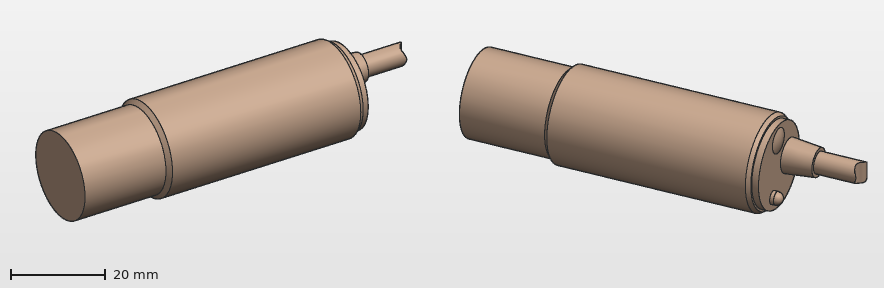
import cadquery as cq
import math

body_diameter = 22.0
nose_diameter = 20.0
cap_diameter = 19.8
nose_length = 20.0
front_chamfer = (body_diameter - nose_diameter) / 2
rear_chamfer_depth = 0.6
rear_chamfer_length = 1.0
rear_chamfer_start = 67.5
shoulder_end = rear_chamfer_start + rear_chamfer_length
cap_end = 70.05

cable_x = -4.7
cable_z = 0
relief_base_diameter = 8.0
relief_tip_diameter = 6.6
relief_end = 77.1

lamp_x = 3.0
lamp_z = -6.2
collar_diameter = 3.1
collar_height = 0.9
lens_diameter = 3.0

button_x = 0.3
button_z = 6.1
button_diameter = 5.8
button_height = 0.6

cable_diameter = 5.0
cable_end = 87.7
wave_height = 0.7


def revolve_about_y(profile, x=0, z=0):
    """Turn an XY half profile about the Y axis and move it to (x, z)."""
    return profile.close().revolve(360, (0, 0, 0), (0, 1, 0)).translate((x, 0, z))


def make_shell():
    body_radius = body_diameter / 2
    nose_radius = nose_diameter / 2
    cap_radius = cap_diameter / 2
    profile = (
        cq.Workplane("XY")
        .lineTo(nose_radius, 0)
        .lineTo(nose_radius, nose_length)
        .lineTo(body_radius, nose_length + front_chamfer)
        .lineTo(body_radius, rear_chamfer_start)
        .lineTo(body_radius - rear_chamfer_depth, shoulder_end)
        .lineTo(cap_radius, shoulder_end)
        .lineTo(cap_radius, cap_end)
        .lineTo(0, cap_end)
    )
    return revolve_about_y(profile)


def make_strain_relief():
    profile = (
        cq.Workplane("XY")
        .moveTo(0, cap_end)
        .lineTo(relief_base_diameter / 2, cap_end)
        .lineTo(relief_tip_diameter / 2, relief_end)
        .lineTo(0, relief_end)
    )
    return revolve_about_y(profile, cable_x, cable_z)


def make_lamp():
    collar_end = cap_end + collar_height
    lens_radius = lens_diameter / 2
    half_chord = lens_radius / math.sqrt(2)
    profile = (
        cq.Workplane("XY")
        .moveTo(0, cap_end)
        .lineTo(collar_diameter / 2, cap_end)
        .lineTo(collar_diameter / 2, collar_end)
        .lineTo(lens_radius, collar_end)
        .threePointArc((half_chord, collar_end + half_chord), (0, collar_end + lens_radius))
    )
    return revolve_about_y(profile, lamp_x, lamp_z)


def make_button():
    base_radius = button_diameter / 2
    sphere_radius = (base_radius**2 + button_height**2) / (2 * button_height)
    profile = (
        cq.Workplane("XY")
        .moveTo(0, cap_end)
        .lineTo(base_radius, cap_end)
        .radiusArc((0, cap_end + button_height), -sphere_radius)
    )
    return revolve_about_y(profile, button_x, button_z)


def make_housing():
    return make_shell().union(make_strain_relief()).union(make_lamp()).union(make_button())


def make_cable():
    """Round cable from the strain relief to a crest on the -X half and a trough on the +X half."""
    radius = cable_diameter / 2
    wave_middle = cable_end - wave_height
    rod = (
        cq.Workplane("XZ", origin=(cable_x, relief_end, cable_z))
        .circle(radius)
        .extrude(relief_end - cable_end)
    )
    wavy_outline = (
        cq.Workplane("XY", origin=(cable_x, 0, cable_z))
        .moveTo(-radius, relief_end)
        .lineTo(-radius, wave_middle)
        .threePointArc((-radius / 2, cable_end), (0, wave_middle))
        .threePointArc((radius / 2, wave_middle - wave_height), (radius, wave_middle))
        .lineTo(radius, relief_end)
        .close()
        .extrude(radius, both=True)
    )
    return rod.intersect(wavy_outline)


housing = make_housing()
cable = make_cable()
result = cq.Compound.makeCompound([housing.val(), cable.val()])